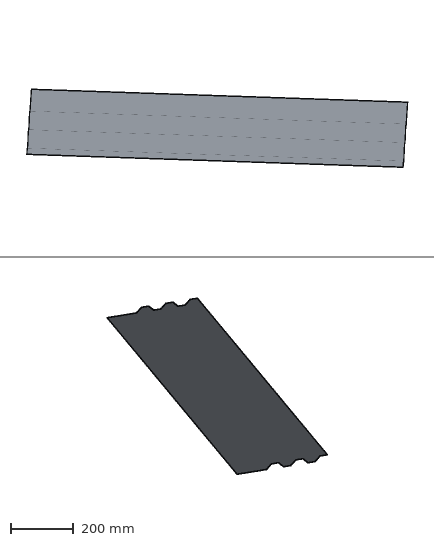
import cadquery as cq
import math

sheet_length = 1200.0
sheet_thickness = 2.0
inner_bend_radius = 2.0
slope_angle = math.radians(45)
heading_angle = 37.2885

wide_flange = 100.0
panel_width = 25.0
full_wave_count = 2

outer_bend_radius = inner_bend_radius + sheet_thickness

bend_shift = sheet_thickness * math.tan(slope_angle / 2)

slope_length = panel_width - bend_shift
slope_run = slope_length * math.cos(slope_angle)
wave_depth = slope_length * math.sin(slope_angle)
overall_height = wave_depth + sheet_thickness
upper_trough_width = panel_width - 2 * bend_shift
wave_pitch = panel_width + upper_trough_width + 2 * slope_run

first_rise = wide_flange - bend_shift
sheet_width = first_rise + full_wave_count * wave_pitch + slope_run + panel_width


def bend_corners(base_height, shift):
    """Left-to-right bend corners of one surface; shift widens the troughs and narrows the crests."""
    low = base_height
    high = base_height + wave_depth
    corners = []
    for wave in range(full_wave_count + 1):
        rise_start = first_rise + wave * wave_pitch
        rise_end = rise_start + slope_run
        corners += [(rise_start + shift, low), (rise_end + shift, high)]
        if wave < full_wave_count:
            fall_start = rise_end + panel_width
            fall_end = fall_start + slope_run
            corners += [(fall_start - shift, high), (fall_end - shift, low)]
    return corners


def round_bends(sheet, corners, crest_radius, trough_radius):
    """Round the lengthwise edges through the given corners, crests and troughs separately."""
    crest_height = max(height for _, height in corners)
    for across, height in corners:
        radius = crest_radius if height == crest_height else trough_radius
        nearest_edge = cq.selectors.NearestToPointSelector((across, 0, height))
        sheet = sheet.edges("|Y").edges(nearest_edge).fillet(radius)
    return sheet


def corrugated_sheet():
    """Bent sheet running along Y, with its left edge on X = 0."""
    lower = bend_corners(0, bend_shift)
    upper = bend_corners(sheet_thickness, 0)
    lower_edge = [(0, 0)] + lower + [(sheet_width, wave_depth)]
    upper_edge = [(0, sheet_thickness)] + upper + [(sheet_width, overall_height)]
    sheet = (
        cq.Workplane("XZ")
        .polyline(lower_edge + upper_edge[::-1])
        .close()
        .extrude(sheet_length / 2, both=True)
    )
    sheet = round_bends(sheet, upper, outer_bend_radius, inner_bend_radius)
    return round_bends(sheet, lower, inner_bend_radius, outer_bend_radius)


centred_sheet = corrugated_sheet().translate((-sheet_width / 2, 0, 0))
result = centred_sheet.rotate((0, 0, 0), (0, 0, 1), -heading_angle)